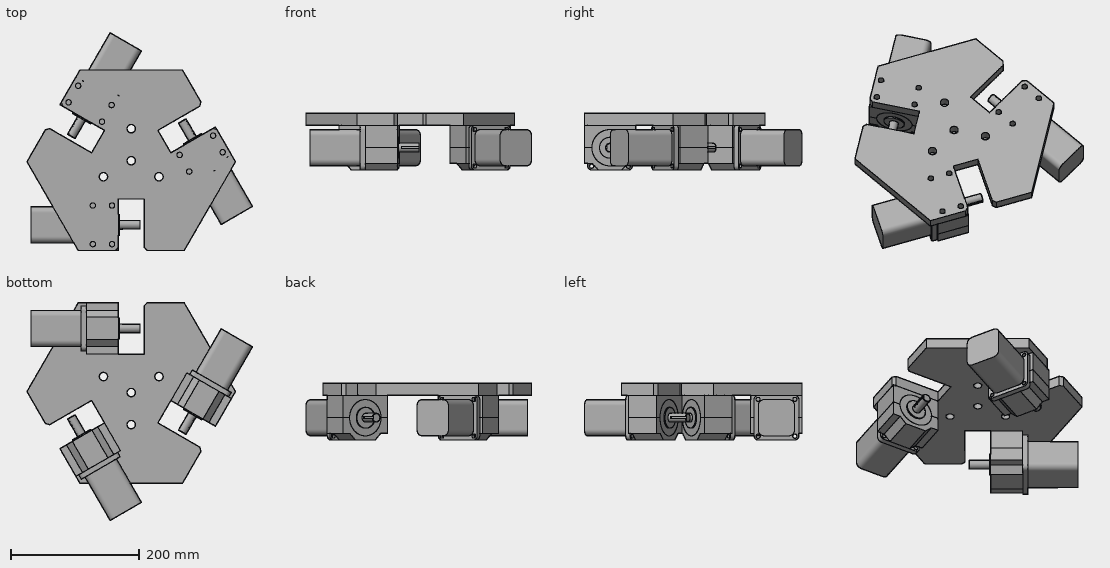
import cadquery as cq
import math

OVERALL_LENGTH = 351.8
DRIVE_ANGLES = (0, 120, 240)

PLATE_THICKNESS = 19.0
END_DISTANCE = 140.0
END_HALF_LENGTH = 82.5
NOTCH_WIDTH = 40.0
NOTCH_FLOOR_DISTANCE = 59.8
NOTCH_CHAMFER = 5.0
CENTER_HOLE_DIAMETER = 12.5
CENTER_HOLE_CIRCLE_RADIUS = 50.0
MOUNT_HOLE_DIAMETER = 8.5
MOUNT_HOLE_EDGE_DISTANCE = 10.0
MOUNT_HOLE_SPACING_ALONG = 30.0
MOUNT_HOLE_SPACING_ACROSS = 60.0

FLANGE_SIZE = 70.0
FLANGE_THICKNESS = 8.0
FLANGE_CORNER_RADIUS = 7.0
FLANGE_HOLE_DIAMETER = 6.5
FLANGE_HOLE_SPACING = 57.5
MOTOR_SIZE = 56.5
MOTOR_CORNER_RADIUS = 9.5
GEARBOX_DIAMETER = MOTOR_SIZE
PILOT_DIAMETER = 32.7
PILOT_HEIGHT = 2.0
SHAFT_DIAMETER = 14.0
SHAFT_REACH = 34.0
SHAFT_CHAMFER = 0.7
KEYWAY_WIDTH = 3.0
KEYWAY_DEPTH = 2.0
KEYWAY_LENGTH = 27.5

CLAMP_WIDTH = 80.2
CLAMP_LENGTH = 50.0
CLAMP_SHOULDER_DEPTH = 24.3
CLAMP_BEVEL_RUN = 10.5
CLAMP_BOTTOM_WIDTH = 35.2

AXIS_HEIGHT = FLANGE_SIZE / 2
AXIS_DISTANCE = END_DISTANCE - CLAMP_WIDTH / 2
FRONT_X = -NOTCH_WIDTH / 2
FLANGE_FRONT_X = FRONT_X - CLAMP_LENGTH
FLANGE_BACK_X = FLANGE_FRONT_X - FLANGE_THICKNESS
PLATE_CORNER_RADIUS = math.hypot(END_DISTANCE, END_HALF_LENGTH)
MOTOR_SIDE_REACH = (AXIS_DISTANCE + MOTOR_SIZE / 2) * math.sin(math.radians(60))
MOTOR_BACK_REACH = OVERALL_LENGTH - PLATE_CORNER_RADIUS - MOTOR_SIDE_REACH
MOTOR_BACK_X = -MOTOR_BACK_REACH / math.cos(math.radians(60))


def turned(point, angle):
    """Turn an (x, y) point about the plate centre."""
    x, y = point
    c = math.cos(math.radians(angle))
    s = math.sin(math.radians(angle))
    return (x * c - y * s, x * s + y * c)


def in_drive_place(body, angle):
    """Move a body built around the X axis to its motor axis, then turn it about the plate centre."""
    return body.translate((0, -AXIS_DISTANCE, 0)).rotate((0, 0, 0), (0, 0, 1), angle)


def axis_plane(x):
    """Plane across the motor axis at x: local x is +Y, local y is +Z, extrusions run along +X."""
    return cq.Workplane("YZ", origin=(x, 0, 0))


def make_plate():
    half_notch = NOTCH_WIDTH / 2
    arm_end = [
        (-END_HALF_LENGTH, -END_DISTANCE),
        (-half_notch - NOTCH_CHAMFER, -END_DISTANCE),
        (-half_notch, -END_DISTANCE + NOTCH_CHAMFER),
        (-half_notch, -NOTCH_FLOOR_DISTANCE),
        (half_notch, -NOTCH_FLOOR_DISTANCE),
        (half_notch, -END_DISTANCE + NOTCH_CHAMFER),
        (half_notch + NOTCH_CHAMFER, -END_DISTANCE),
        (END_HALF_LENGTH, -END_DISTANCE),
    ]
    outline = [turned(point, angle) for angle in DRIVE_ANGLES for point in arm_end]

    center_holes = [(0, 0)]
    mount_holes = []
    for angle in DRIVE_ANGLES:
        center_holes.append(turned((0, CENTER_HOLE_CIRCLE_RADIUS), angle))
        for along in (0, MOUNT_HOLE_SPACING_ALONG):
            for side in (-1, 1):
                x = FRONT_X - MOUNT_HOLE_EDGE_DISTANCE - along
                y = -AXIS_DISTANCE + side * MOUNT_HOLE_SPACING_ACROSS / 2
                mount_holes.append(turned((x, y), angle))

    plate = cq.Workplane("XY", origin=(0, 0, AXIS_HEIGHT)).polyline(outline).close().extrude(PLATE_THICKNESS)
    plate = plate.faces(">Z").workplane(origin=(0, 0, 0)).pushPoints(center_holes).hole(CENTER_HOLE_DIAMETER)
    return plate.faces(">Z").workplane(origin=(0, 0, 0)).pushPoints(mount_holes).hole(MOUNT_HOLE_DIAMETER)


def make_shaft():
    """Pilot boss and keyed output shaft in front of the gearbox face."""
    pilot = axis_plane(FRONT_X).circle(PILOT_DIAMETER / 2).extrude(PILOT_HEIGHT)
    shaft = axis_plane(FRONT_X).circle(SHAFT_DIAMETER / 2).extrude(SHAFT_REACH)
    shaft = shaft.faces(">X").chamfer(SHAFT_CHAMFER)
    keyway = cq.Workplane("XY").box(KEYWAY_LENGTH, KEYWAY_DEPTH, KEYWAY_WIDTH, centered=(False, False, True))
    keyway_start = FRONT_X + SHAFT_REACH - KEYWAY_LENGTH
    return pilot.union(shaft.cut(keyway.translate((keyway_start, -SHAFT_DIAMETER / 2, 0))))


def make_motor():
    body = axis_plane(MOTOR_BACK_X).rect(MOTOR_SIZE, MOTOR_SIZE).extrude(FLANGE_BACK_X - MOTOR_BACK_X)
    body = body.edges("|X").fillet(MOTOR_CORNER_RADIUS)
    flange = axis_plane(FLANGE_BACK_X).rect(FLANGE_SIZE, FLANGE_SIZE).extrude(FLANGE_THICKNESS)
    flange = flange.edges("|X").fillet(FLANGE_CORNER_RADIUS)
    holes = (
        axis_plane(FLANGE_BACK_X)
        .rect(FLANGE_HOLE_SPACING, FLANGE_HOLE_SPACING, forConstruction=True)
        .vertices()
        .circle(FLANGE_HOLE_DIAMETER / 2)
        .extrude(FLANGE_THICKNESS)
    )
    gearbox = axis_plane(FLANGE_FRONT_X).circle(GEARBOX_DIAMETER / 2).extrude(CLAMP_LENGTH)
    return body.union(flange.cut(holes)).union(gearbox).union(make_shaft())


def clamp_half(profile):
    """Extrude one clamp half and cut its half of the gearbox bore."""
    bore = axis_plane(FLANGE_FRONT_X).circle(GEARBOX_DIAMETER / 2).extrude(CLAMP_LENGTH)
    return axis_plane(FLANGE_FRONT_X).polyline(profile).close().extrude(CLAMP_LENGTH).cut(bore)


def make_upper_clamp():
    half_width = CLAMP_WIDTH / 2
    return clamp_half([
        (-half_width, 0),
        (half_width, 0),
        (half_width, AXIS_HEIGHT),
        (-half_width, AXIS_HEIGHT),
    ])


def make_lower_clamp():
    half_width = CLAMP_WIDTH / 2
    half_bottom = CLAMP_BOTTOM_WIDTH / 2
    half_block = half_bottom + CLAMP_BEVEL_RUN
    bottom = -FLANGE_SIZE / 2
    return clamp_half([
        (-half_width, 0),
        (-half_width, -CLAMP_SHOULDER_DEPTH),
        (-half_block, -CLAMP_SHOULDER_DEPTH),
        (-half_bottom, bottom),
        (half_bottom, bottom),
        (half_block, -CLAMP_SHOULDER_DEPTH),
        (half_width, -CLAMP_SHOULDER_DEPTH),
        (half_width, 0),
    ])


bodies = [make_plate().val()]
for drive_angle in DRIVE_ANGLES:
    for make_body in (make_motor, make_upper_clamp, make_lower_clamp):
        bodies.append(in_drive_place(make_body(), drive_angle).val())

result = cq.Compound.makeCompound(bodies)